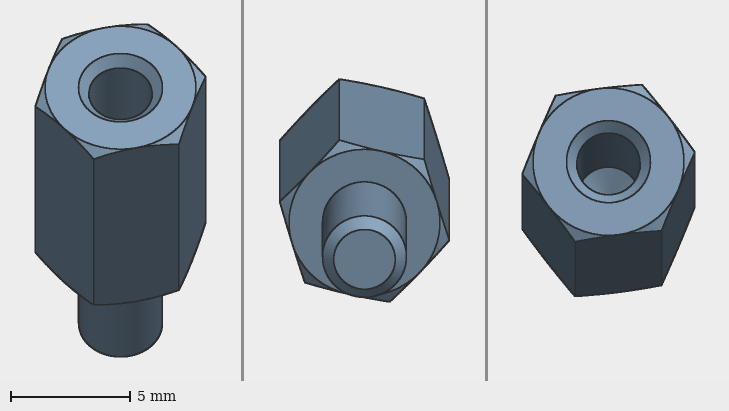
import cadquery as cq
import math

total_length = 17.48
across_flats = 6.35
across_corners = across_flats / math.cos(math.radians(30))
hex_length = 11.12
stud_length = total_length - hex_length

stud_diameter = 3.53
stud_chamfer = 0.47

hole_diameter = 2.65
hole_depth = 7.0
countersink_diameter = 3.53
countersink_depth = (countersink_diameter - hole_diameter) / 2
drill_point_angle = 118

corner_chamfer_angle = 30
face_radius = across_flats / 2
corner_radius = across_corners / 2
corner_drop = (corner_radius - face_radius) * math.tan(math.radians(corner_chamfer_angle))


def make_hex_body():
    """Hex prism with corners along Y, both ends trimmed by a 30 degree cone."""
    prism = (
        cq.Workplane("XY", origin=(0, 0, stud_length))
        .polygon(6, across_corners)
        .extrude(hex_length)
        .rotate((0, 0, 0), (0, 0, 1), 30)
    )
    envelope = (
        cq.Workplane("XZ")
        .moveTo(0, stud_length)
        .lineTo(face_radius, stud_length)
        .lineTo(corner_radius, stud_length + corner_drop)
        .lineTo(corner_radius, total_length - corner_drop)
        .lineTo(face_radius, total_length)
        .lineTo(0, total_length)
        .close()
        .revolve(360, (0, 0, 0), (0, 1, 0))
    )
    return prism.intersect(envelope)


def make_stud():
    """Round stud with a chamfered lower end."""
    stud = cq.Workplane("XY").circle(stud_diameter / 2).extrude(stud_length)
    return stud.faces("<Z").chamfer(stud_chamfer)


def make_hole():
    """Countersunk blind hole with a conical drill point."""
    hole_radius = hole_diameter / 2
    hole_floor = total_length - hole_depth
    point_depth = hole_radius / math.tan(math.radians(drill_point_angle / 2))
    return (
        cq.Workplane("XZ")
        .moveTo(0, total_length)
        .lineTo(countersink_diameter / 2, total_length)
        .lineTo(hole_radius, total_length - countersink_depth)
        .lineTo(hole_radius, hole_floor)
        .lineTo(0, hole_floor - point_depth)
        .close()
        .revolve(360, (0, 0, 0), (0, 1, 0))
    )


result = make_hex_body().union(make_stud()).cut(make_hole())